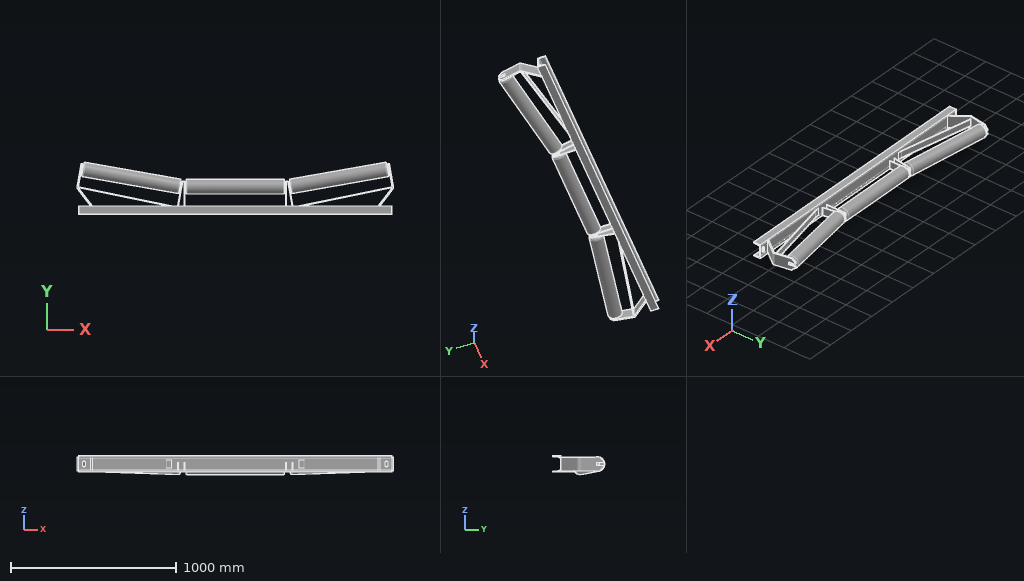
import cadquery as cq
import math

OVERALL_LENGTH = 1920.0

CHANNEL_LENGTH = 1900.0
CHANNEL_HEIGHT = 100.0
CHANNEL_DEPTH = 52.0
WEB_THICKNESS = 5.0
FLANGE_TIP_THICKNESS = 8.0
FLANGE_ROOT_THICKNESS = 10.0
FLANGE_ROOT_FILLET = 8.0
FLANGE_TIP_FILLET = 6.7
MOUNT_SLOT_LENGTH = 35.0
MOUNT_SLOT_WIDTH = 17.0
MOUNT_SLOT_END_DISTANCE = 33.0

ROLLER_DIAMETER = 90.0
ROLLER_LENGTH = 600.0
ROLLER_EDGE_FILLET = 8.0
SHAFT_DIAMETER = 20.0
SHAFT_FLATS = 15.0
SHAFT_STUB = 10.0
ROLLER_BACK_Y = 213.0
ROLLER_BOTTOM_Z = -65.0
CENTER_AXIS_Y = ROLLER_BACK_Y - ROLLER_DIAMETER / 2
CENTER_AXIS_Z = ROLLER_BOTTOM_Z + ROLLER_DIAMETER / 2
WING_INNER_X = 335.0
WING_INNER_Y = 169.0
WING_ANGLE = 10.0
WING_TILT = 1.9

SHAFT_SLOT_WIDTH = 17.0
SLOT_CUT_DEPTH = 77.0
SLOT_CUT_LENGTH = 20.0
INNER_HEIGHT = 58.0
INNER_PLATE = 5.0
INNER_LEG_X = 303.0
INNER_TOP_Y = 202.0
INNER_FOOT_X = 350.0
INNER_BEND_RADIUS = 8.0
OUTER_HEIGHT = 85.0
OUTER_PLATE = 10.0
OUTER_BEND_Y = 160.0
OUTER_TIP_Y = 310.0
OUTER_TIP_CHAMFER = 23.0
OUTER_BEND_RADIUS = 13.0
BRACE_ANGLE = 37.5
STRUT_THICKNESS = 5.0
STRUT_HEIGHT = 50.0
STRUT_FOOT_X = 388.0
STRUT_ANGLE = 11.6


def slope(angle):
    return math.tan(math.radians(angle))


def cos(angle):
    return math.cos(math.radians(angle))


def sin(angle):
    return math.sin(math.radians(angle))


def upright_plate(outline, height):
    """Plate centred on Z = 0, standing on an outline in the XY plane."""
    return cq.Workplane("XY").polyline(outline).close().extrude(height / 2, both=True)


def make_channel():
    """Channel with tapered, rounded flanges and an upright mounting slot near each end of its web."""
    half = CHANNEL_HEIGHT / 2
    web_front = CHANNEL_DEPTH - WEB_THICKNESS
    root = half - FLANGE_ROOT_THICKNESS
    tip = half - FLANGE_TIP_THICKNESS
    outline = [
        (0, half), (CHANNEL_DEPTH, half), (CHANNEL_DEPTH, -half), (0, -half),
        (0, -tip), (web_front, -root), (web_front, root), (0, tip),
    ]
    channel = cq.Workplane("YZ").polyline(outline).close().extrude(CHANNEL_LENGTH / 2, both=True)
    for y, z, radius in ((web_front, root, FLANGE_ROOT_FILLET), (0, tip, FLANGE_TIP_FILLET)):
        for side in (-1, 1):
            channel = channel.edges(cq.NearestToPointSelector((0, y, side * z))).fillet(radius)
    slot_x = CHANNEL_LENGTH / 2 - MOUNT_SLOT_END_DISTANCE
    slots = (
        cq.Workplane("XZ")
        .pushPoints([(-slot_x, 0), (slot_x, 0)])
        .slot2D(MOUNT_SLOT_LENGTH, MOUNT_SLOT_WIDTH, 90)
        .extrude(-CHANNEL_DEPTH)
    )
    return channel.cut(slots)


def make_roller():
    """Roller along +X with its inner end face at the origin."""
    body = (
        cq.Workplane("YZ").circle(ROLLER_DIAMETER / 2).extrude(ROLLER_LENGTH)
        .faces("<X or >X").edges().fillet(ROLLER_EDGE_FILLET)
    )
    shaft_length = ROLLER_LENGTH + 2 * SHAFT_STUB
    shaft = cq.Workplane("YZ", origin=(-SHAFT_STUB, 0, 0)).circle(SHAFT_DIAMETER / 2).extrude(shaft_length)
    flats = cq.Workplane("XY").box(2 * shaft_length, SHAFT_DIAMETER, SHAFT_FLATS)
    return body.union(shaft.intersect(flats))


def place_center(roller):
    """Centre the roller on X = 0 at the middle station."""
    return roller.translate((-ROLLER_LENGTH / 2, CENTER_AXIS_Y, CENTER_AXIS_Z))


def place_wing(roller):
    """Swing the roller's outer end towards +Y, raise it in Z and move it to the right-hand wing."""
    return (
        roller.rotate((0, 0, 0), (0, 1, 0), -WING_TILT)
        .rotate((0, 0, 0), (0, 0, 1), WING_ANGLE)
        .translate((WING_INNER_X, WING_INNER_Y, CENTER_AXIS_Z))
    )


def make_shaft_slot(axial_start):
    """Cutter along +X around the shaft of an unplaced roller: floor under the shaft, open towards +Y."""
    return (
        cq.Workplane("XY", origin=(axial_start, -SHAFT_DIAMETER / 2, 0))
        .box(SLOT_CUT_LENGTH, SLOT_CUT_DEPTH, SHAFT_SLOT_WIDTH, centered=(False, False, True))
    )


def make_inner_bracket():
    """Folded plate with an upright leg and a leaning leg, right-hand side."""
    lean = slope(WING_ANGLE)
    plate_in_x = INNER_PLATE / cos(WING_ANGLE)
    crown_y = INNER_TOP_Y - INNER_PLATE
    leg_inside = INNER_LEG_X + INNER_PLATE

    def leaning_x(y):
        return INNER_FOOT_X - (y - CHANNEL_DEPTH) * lean

    bracket = upright_plate([
        (INNER_LEG_X, CHANNEL_DEPTH),
        (INNER_LEG_X, INNER_TOP_Y),
        (leaning_x(INNER_TOP_Y), INNER_TOP_Y),
        (INNER_FOOT_X, CHANNEL_DEPTH),
        (INNER_FOOT_X - plate_in_x, CHANNEL_DEPTH),
        (leaning_x(crown_y) - plate_in_x, crown_y),
        (leg_inside, crown_y),
        (leg_inside, CHANNEL_DEPTH),
    ], INNER_HEIGHT)
    for x in (INNER_LEG_X, leaning_x(INNER_TOP_Y)):
        corner = cq.NearestToPointSelector((x, INNER_TOP_Y, 0))
        bracket = bracket.edges("|Z").edges(corner).fillet(INNER_BEND_RADIUS)
    bracket = bracket.translate((0, 0, CENTER_AXIS_Z))
    center_slot = make_shaft_slot(ROLLER_LENGTH)
    wing_slot = make_shaft_slot(-SLOT_CUT_LENGTH)
    return bracket.cut(place_center(center_slot)).cut(place_wing(wing_slot))


def bend_offset(distance):
    """Step from the sharp outer corner of the outer bracket's bend to the corner offset inwards."""
    step_upright = distance / cos(WING_ANGLE)
    step_brace = distance / cos(BRACE_ANGLE)
    rise = (step_brace - step_upright) / (slope(WING_ANGLE) + slope(BRACE_ANGLE))
    return -step_upright - rise * slope(WING_ANGLE), rise


OUTER_BEND_X = OVERALL_LENGTH / 2 - OUTER_BEND_RADIUS - bend_offset(OUTER_BEND_RADIUS)[0]


def make_outer_bracket():
    """Bent plate with a leaning upright and a brace back to the channel, right-hand side."""
    lean = slope(WING_ANGLE)
    upright_in_x = OUTER_PLATE / cos(WING_ANGLE)
    brace_in_x = OUTER_PLATE / cos(BRACE_ANGLE)
    tip_x = OUTER_BEND_X - (OUTER_TIP_Y - OUTER_BEND_Y) * lean
    foot_x = OUTER_BEND_X - (OUTER_BEND_Y - CHANNEL_DEPTH) * slope(BRACE_ANGLE)
    step_x, step_y = bend_offset(OUTER_PLATE)
    inner_bend = (OUTER_BEND_X + step_x, OUTER_BEND_Y + step_y)

    bracket = upright_plate([
        (tip_x, OUTER_TIP_Y),
        (OUTER_BEND_X, OUTER_BEND_Y),
        (foot_x, CHANNEL_DEPTH),
        (foot_x - brace_in_x, CHANNEL_DEPTH),
        inner_bend,
        (tip_x - upright_in_x, OUTER_TIP_Y),
    ], OUTER_HEIGHT)
    for point, radius in (
        ((OUTER_BEND_X, OUTER_BEND_Y), OUTER_BEND_RADIUS),
        (inner_bend, OUTER_BEND_RADIUS - OUTER_PLATE),
    ):
        bracket = bracket.edges("|Z").edges(cq.NearestToPointSelector((*point, 0))).fillet(radius)
    bracket = bracket.faces(">Y").edges("|X").chamfer(OUTER_TIP_CHAMFER)

    shaft_slot = make_shaft_slot(ROLLER_LENGTH)
    return bracket.cut(place_wing(shaft_slot))


def make_strut(outer_bracket):
    """Flat bar from the back of the channel to the inside of the outer bracket, right-hand side."""
    rise = slope(STRUT_ANGLE)
    top_end = (OUTER_BEND_X, CHANNEL_DEPTH + (OUTER_BEND_X - STRUT_FOOT_X) * rise)
    foot_width = STRUT_THICKNESS / sin(STRUT_ANGLE)
    bar = upright_plate([
        (STRUT_FOOT_X, CHANNEL_DEPTH),
        top_end,
        (OUTER_BEND_X, top_end[1] - STRUT_THICKNESS / cos(STRUT_ANGLE)),
        (STRUT_FOOT_X + foot_width, CHANNEL_DEPTH),
    ], STRUT_HEIGHT)
    return bar.cut(outer_bracket).solids("<X")


channel = make_channel()
roller = make_roller()
center_roller = place_center(roller)
outer_bracket = make_outer_bracket()
right_side = [place_wing(roller), make_inner_bracket(), outer_bracket, make_strut(outer_bracket)]

bodies = [channel.val(), center_roller.val()]
for body in right_side:
    bodies.append(body.val())
    bodies.append(body.mirror("YZ").val())
result = cq.Compound.makeCompound(bodies)